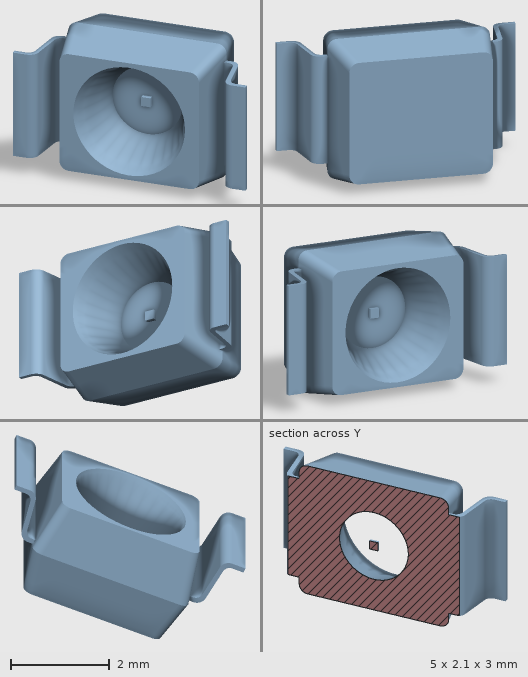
import cadquery as cq
import math

face_width = 3.0
face_height = 2.6
draft_offset = 0.2
corner_radius = 0.2
front_depth = 1.1
back_depth = 1.0
parting_width = face_width + 2 * draft_offset
parting_height = face_height + 2 * draft_offset

cup_mouth_diameter = 2.4
cup_floor_diameter = 1.5
cup_depth = front_depth
chip_size = 0.2
chip_thickness = 0.1

lead_span = 5.0
lead_height = 2.3
lead_thickness = 0.1
leg_angle = math.radians(8)
inner_bend_radius = 0.15
outer_bend_radius = 0.2
foot_flat = 0.29
lead_embed = 0.15


def rounded_rectangle(width, height):
    return cq.Sketch().rect(width, height).vertices().fillet(corner_radius)


def body_half(face_y):
    """Ruled loft from the parting section to the smaller end face at face_y."""
    parting_section = rounded_rectangle(parting_width, parting_height)
    face_offset = cq.Location(cq.Vector(0, 0, front_depth - face_y))
    end_section = rounded_rectangle(face_width, face_height).moved(face_offset)
    parting_plane = cq.Workplane("XZ", origin=(0, front_depth, 0))
    return parting_plane.placeSketch(parting_section, end_section).loft(ruled=True)


def reflector_cup():
    """Conical recess opening on the front face."""
    half_section = [
        (0, 0),
        (cup_mouth_diameter / 2, 0),
        (cup_floor_diameter / 2, cup_depth),
        (0, cup_depth),
    ]
    return cq.Workplane("XY").polyline(half_section).close().revolve(360, (0, 0), (0, 1))


def chip():
    """Square chip standing on the cup floor."""
    return cq.Workplane("XZ", origin=(0, cup_depth, 0)).rect(chip_size, chip_size).extrude(chip_thickness)


def left_lead():
    """Flat foot, steep leg and shoulder, with rounded bends."""
    foot_end_x = -lead_span / 2
    root_x = -parting_width / 2 + lead_embed
    shoulder_y = front_depth - lead_thickness

    bend_turn = math.pi / 2 - leg_angle
    heel_x = foot_end_x + foot_flat + outer_bend_radius * math.tan(bend_turn / 2)
    leg_width = lead_thickness / math.cos(leg_angle)
    slope = math.tan(leg_angle)
    heel_outer = (heel_x, 0)
    shoulder_inner = (heel_x + shoulder_y * slope, shoulder_y)
    shoulder_outer = (heel_x - leg_width + front_depth * slope, front_depth)
    heel_inner = (heel_x - leg_width + lead_thickness * slope, lead_thickness)

    outline = [
        (foot_end_x, 0),
        heel_outer,
        shoulder_inner,
        (root_x, shoulder_y),
        (root_x, front_depth),
        shoulder_outer,
        heel_inner,
        (foot_end_x, lead_thickness),
    ]
    strip = cq.Workplane("XY").polyline(outline).close().extrude(lead_height / 2, both=True)
    bends = [
        (heel_outer, outer_bend_radius),
        (shoulder_outer, outer_bend_radius),
        (heel_inner, inner_bend_radius),
        (shoulder_inner, inner_bend_radius),
    ]
    for (x, y), radius in bends:
        strip = strip.edges(cq.NearestToPointSelector((x, y, 0))).fillet(radius)
    return strip


body = body_half(0).union(body_half(front_depth + back_depth))
lead = left_lead()
package = body.union(lead).union(lead.mirror("YZ"))
result = package.cut(reflector_cup()).union(chip())